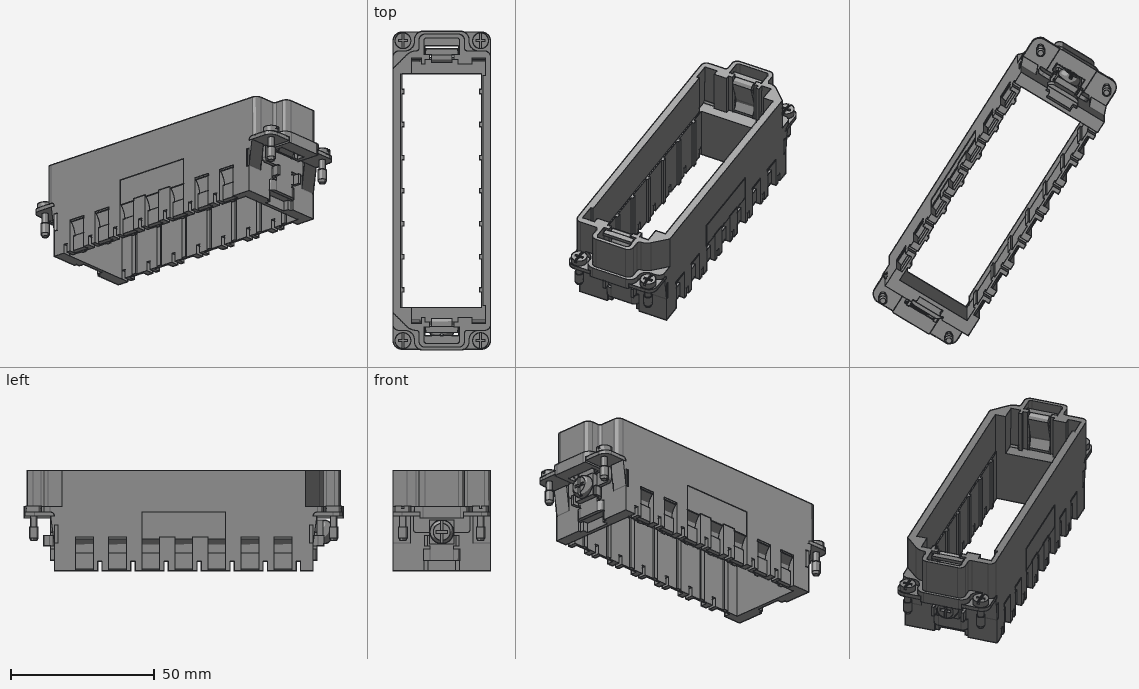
import cadquery as cq
import math

half_width = 17.0
height = 34.9
body_half_length = 45.0
flange_half_length = 55.5

plate_top = 20.4
plate_thickness = 1.4
plate_bottom = plate_top - plate_thickness
hood_bottom = 22.4
sill_bottom = 18.3
floor_level = 19.5

shoulder_y = 48.6
hood_end_y = 54.45
hood_bump_half_width = 7.9
hood_bump_round = 2.1
hood_root_round = 1.0
shoulder_round = 2.15
key_chamfer = 4.85
key_arc_radius = 4.6
key_start_y = shoulder_y - key_arc_radius * (1 - math.cos(math.pi / 4)) - key_chamfer
flange_bump_half_width = 9.5
flange_bump_round = 3.0
flange_root_round = 3.3
sill_half_width = 7.55

hood_inner_half_width = 14.3
body_inner_half_width = 13.8
opening_half_length = 40.6
recess_left_x = -10.5
recess_right_x = 15.25
recess_y = 45.6
recess_top_y = 46.2
recess_right_start_y = 40.0
guide_y = 44.1
narrow_guide_x = (-7.0, -5.8)
wide_guide_x = (5.7, 10.6)
rib_width = 1.6
rib_reach = 0.7

latch_half_width = 3.65
latch_slot_half_width = 4.2
latch_thickness = 1.3
latch_bar_half_width = 5.6
latch_bar_y = (47.2, 49.4)
latch_root = (45.6, 20.4)
latch_heel = (47.1, 24.0)
latch_nose = (44.5, 33.0)
latch_crown_z = 34.1
latch_bar_z = (33.0, latch_crown_z)
cavity_half_width = 6.25
cavity_slit_half_width = 5.75
cavity_y = (47.4, 53.15)
cavity_slit_y = 50.4
cavity_round = 1.0
cavity_floor = 19.7

module_pitch = 11.5
module_count = 7
window_width = 6.2
window_top = 11.7
cove_top = 11.1
catch_top = 6.2
catch_chamfer = 0.7
lip_depth = 0.2
ceiling_depth = 0.6
catch_depth = 1.7
cove_depth = 2.6
slot_offset = -5.35
slot_width = 1.4
slot_height = 3.3
panel_half_length = module_pitch + window_width / 2

pad_inner_x = 10.9
pad_bottom = 9.6
pad_reach = 1.3
relief_top = 16.0
relief_length = 1.3
relief_depth = 0.5
groove_top = 3.6
groove_steps = ((6.2, 1.0), (4.8, 3.0))

plate_end_y = 55.2
bend_radius = 1.3
plate_corner_round = 3.2
leg_outer_y = body_half_length + plate_thickness
leg_half_width = 9.9
leg_bottom = 13.25
leg_round = 1.3
stem_half_width = 4.1
foot_half_width = 6.3
foot_top = 7.6
ear_x = (4.95, 5.97)
ear_z = (8.65, 12.3)
ear_end_y = 48.7
ear_bend_radius = 1.7

screw_x = 13.5
screw_y = 52.15
screw_head_radius = 2.75
screw_head_height = 2.2
screw_neck_radius = 1.15
screw_thread_radius = 1.5
screw_thread_top = 15.3
screw_tip_start = 11.5
screw_tip_end = 10.5
screw_tip_radius = 1.0
screw_slot_width = 0.7
screw_slot_depth = 0.9
screw_cross_length = 3.0

earth_z = 13.55
washer_side = 8.4
washer_thickness = 2.1
washer_outer_y = leg_outer_y + washer_thickness
earth_head_radius = 4.05
earth_face_radius = 2.95
earth_head_height = 2.6
earth_shank_radius = 2.0
earth_shank_end_y = 42.5
earth_slot_width = 1.0
earth_slot_depth = 1.2
earth_cross_length = 3.9
earth_cross_depth = 1.6


def block(x, y, z):
    """Box between the given low and high limits along each axis."""
    sizes = [high - low for low, high in (x, y, z)]
    return cq.Workplane("XY").box(*sizes, centered=False).translate((x[0], y[0], z[0]))


def centred_block(half_x, y, z):
    return block((-half_x, half_x), y, z)


def side_profile(points, x):
    """Polygon of (y, z) points extruded along X between two limits."""
    return cq.Workplane("YZ", origin=(x[0], 0, 0)).polyline(points).close().extrude(x[1] - x[0])


def at_both_ends(shape):
    return shape.union(shape.mirror("XZ"))


def window_centres():
    middle = (module_count - 1) / 2
    return [module_pitch * (i - middle) for i in range(module_count)]


def hood_half():
    """Upper shroud; the -X corner carries the coding chamfer."""
    key_end = (-half_width + key_chamfer, key_start_y + key_chamfer)
    arc_middle = (
        key_end[0] + key_arc_radius * (math.sin(math.pi / 4) - math.sin(math.pi / 8)),
        shoulder_y - key_arc_radius * (1 - math.cos(math.pi / 8)),
    )
    arc_end = (key_end[0] + key_arc_radius * math.sin(math.pi / 4), shoulder_y)
    hood = (
        cq.Workplane("XY", origin=(0, 0, hood_bottom))
        .moveTo(-half_width, 0)
        .lineTo(-half_width, key_start_y)
        .lineTo(*key_end)
        .threePointArc(arc_middle, arc_end)
        .lineTo(0, shoulder_y)
        .lineTo(half_width, shoulder_y)
        .lineTo(half_width, 0)
        .close()
        .extrude(height - hood_bottom)
    )
    corner = cq.selectors.NearestToPointSelector((half_width, shoulder_y, height))
    hood = hood.edges("|Z").edges(corner).fillet(shoulder_round)
    bump = end_bump(
        hood_bump_half_width,
        hood_end_y,
        hood_bump_round,
        hood_root_round,
        hood_bottom,
        height,
    )
    return hood.union(bump)


def end_bump(half, end_y, tip_round, root_round, bottom, top):
    """Rounded projection beyond the shoulder, with concave roots on both sides."""
    level = cq.Workplane("XY", origin=(0, 0, bottom))
    bend = math.sqrt(0.5)
    outline = level.moveTo(-half - root_round, shoulder_y)
    outline = outline.threePointArc(
        (-half - root_round * (1 - bend), shoulder_y + root_round * (1 - bend)),
        (-half, shoulder_y + root_round),
    )
    outline = outline.lineTo(-half, end_y - tip_round)
    outline = outline.threePointArc(
        (-half + tip_round * (1 - bend), end_y - tip_round * (1 - bend)),
        (-half + tip_round, end_y),
    )
    outline = outline.lineTo(0, end_y).lineTo(0, body_half_length)
    outline = outline.lineTo(-half - root_round, body_half_length).close()
    left = outline.extrude(top - bottom)
    return left.union(left.mirror("YZ"))


def flange_half():
    """Lip under the hood, resting on the plate, with a sill that fills the notch of the plate."""
    flange = centred_block(half_width, (0, shoulder_y), (plate_top, hood_bottom))
    flange = flange.edges("|Z and >Y").fillet(shoulder_round)
    bump = end_bump(
        flange_bump_half_width,
        flange_half_length,
        flange_bump_round,
        flange_root_round,
        sill_bottom,
        hood_bottom,
    )
    beside_sill = centred_block(half_width, (0, flange_half_length), (sill_bottom, plate_top)).cut(
        centred_block(sill_half_width, (0, flange_half_length), (sill_bottom, plate_top))
    )
    return flange.union(bump.cut(beside_sill))


def bend_filler():
    """Strip of the housing that fits the outside of the bend of the plate."""
    strip = centred_block(half_width, (body_half_length, leg_outer_y), (plate_bottom, plate_top))
    return strip.cut(make_plate())


def end_recess():
    """Stepped recess in front of the end wall, with guide ribs left standing."""
    outline = [
        (recess_left_x, recess_right_start_y),
        (recess_left_x, recess_y),
        (narrow_guide_x[0], recess_y),
        (narrow_guide_x[0], guide_y),
        (narrow_guide_x[1], guide_y),
        (narrow_guide_x[1], recess_y),
        (wide_guide_x[0], recess_y),
        (wide_guide_x[0], guide_y),
        (wide_guide_x[1], guide_y),
        (wide_guide_x[1], recess_y),
        (recess_right_x, recess_y),
        (recess_right_x, recess_right_start_y),
    ]
    floor = cq.Workplane("XY", origin=(0, 0, floor_level))
    recess = floor.polyline(outline).close().extrude(height - floor_level)
    slope = [(guide_y, plate_top), (recess_y, plate_top), (recess_top_y, height), (guide_y, height)]
    for limits in ((recess_left_x, narrow_guide_x[0]), (wide_guide_x[1], recess_right_x)):
        recess = recess.union(side_profile(slope, limits))
    return recess


def latch_cavity():
    """Opening behind the latch; its outer part has a floor, the rest is open below."""
    upper = centred_block(cavity_half_width, cavity_y, (cavity_floor, height))
    upper = upper.edges("|Z and >Y").fillet(cavity_round)
    slit = centred_block(cavity_slit_half_width, (cavity_y[0], cavity_slit_y), (sill_bottom, height))
    slot = centred_block(latch_slot_half_width, (recess_y, cavity_y[0]), (sill_bottom, height))
    return upper.union(slit).union(slot)


def latch():
    """Leaning tongue with a rounded nose and a cross bar at its top."""
    root_middle = (
        (latch_root[0] + latch_heel[0]) / 2 + latch_thickness / 4,
        (latch_root[1] + latch_heel[1]) / 2 - latch_thickness / 4,
    )
    nose_middle = (latch_nose[0] + latch_thickness / 2, latch_crown_z - latch_thickness / 6)
    tongue = (
        cq.Workplane("YZ", origin=(-latch_half_width, 0, 0))
        .moveTo(body_half_length, sill_bottom)
        .lineTo(body_half_length, floor_level)
        .lineTo(latch_root[0], floor_level)
        .lineTo(*latch_root)
        .threePointArc(root_middle, latch_heel)
        .lineTo(*latch_nose)
        .threePointArc(nose_middle, (latch_bar_y[0], latch_crown_z))
        .lineTo(latch_bar_y[0], latch_bar_z[0])
        .lineTo(latch_nose[0] + latch_thickness, latch_nose[1] - latch_thickness)
        .lineTo(latch_heel[0] + latch_thickness, latch_heel[1])
        .lineTo(latch_heel[0], sill_bottom)
        .close()
        .extrude(2 * latch_half_width)
    )
    return tongue.union(centred_block(latch_bar_half_width, latch_bar_y, latch_bar_z))


def corner_pads():
    """Wedges under the plate on both sides of the leg, thickest where they meet the plate."""
    outline = [
        (body_half_length, pad_bottom),
        (body_half_length, plate_bottom),
        (body_half_length + pad_reach, plate_bottom),
    ]
    pad = side_profile(outline, (pad_inner_x, half_width))
    return pad.union(pad.mirror("YZ"))


def corner_reliefs():
    """Shallow tapered cuts in the long sides, running out at the end face."""
    outline = [
        (half_width, body_half_length),
        (half_width, body_half_length - relief_length),
        (half_width - relief_depth, body_half_length - relief_length),
    ]
    base = cq.Workplane("XY", origin=(0, 0, pad_bottom))
    relief = base.polyline(outline).close().extrude(relief_top - pad_bottom)
    return relief.union(relief.mirror("YZ"))


def foot_groove():
    groove = cq.Workplane("XY")
    for half, depth in groove_steps:
        step_y = (body_half_length - depth, body_half_length)
        groove = groove.add(centred_block(half, step_y, (0, groove_top)))
    return groove.combine()


def window(y):
    """Recess in the -X side with a coved back above a catch."""
    lip_x, catch_x, cove_x = (-half_width + depth for depth in (lip_depth, catch_depth, cove_depth))
    rise = cove_top - catch_top
    run = cove_depth - ceiling_depth
    cove_radius = (run**2 + rise**2) / (2 * run)
    half_angle = math.asin(rise / cove_radius) / 2
    cove_middle = (
        cove_x - cove_radius * (1 - math.cos(half_angle)),
        catch_top + cove_radius * math.sin(half_angle),
    )
    return (
        cq.Workplane("XZ", origin=(0, y + window_width / 2, 0))
        .moveTo(-half_width, 0)
        .lineTo(-half_width, window_top)
        .lineTo(lip_x, window_top)
        .lineTo(lip_x, cove_top)
        .lineTo(-half_width + ceiling_depth, cove_top)
        .threePointArc(cove_middle, (cove_x, catch_top))
        .lineTo(catch_x, catch_top)
        .lineTo(catch_x, catch_chamfer)
        .lineTo(catch_x + catch_chamfer, 0)
        .close()
        .extrude(window_width)
    )


def label_panel():
    """Shallow recess above the three middle windows of the -X side, down to their tops."""
    panel_x = (-half_width, -half_width + lip_depth)
    return block(panel_x, (-panel_half_length, panel_half_length), (window_top, plate_top))


def make_housing():
    body_half = centred_block(half_width, (0, body_half_length), (0, hood_bottom))
    half = body_half.union(flange_half()).union(hood_half())
    half = half.union(bend_filler())
    half = half.cut(end_recess()).cut(latch_cavity()).union(latch())
    half = half.union(corner_pads()).cut(corner_reliefs()).cut(foot_groove())
    housing = at_both_ends(half)

    opening = (-opening_half_length, opening_half_length)
    housing = housing.cut(centred_block(hood_inner_half_width, opening, (floor_level, height)))
    housing = housing.cut(centred_block(body_inner_half_width, opening, (0, floor_level)))

    rib_x = (-body_inner_half_width, -body_inner_half_width + rib_reach)
    for y in window_centres():
        rib = block(rib_x, (y - rib_width / 2, y + rib_width / 2), (0, floor_level))
        housing = housing.union(rib).union(rib.mirror("YZ"))
        recess = window(y)
        housing = housing.cut(recess).cut(recess.mirror("YZ"))
        slot_start = y + slot_offset - slot_width / 2
        slot = centred_block(half_width, (slot_start, slot_start + slot_width), (0, slot_height))
        housing = housing.cut(slot)

    panel = label_panel()
    housing = housing.cut(panel).cut(panel.mirror("YZ"))
    return housing.cut(earth_shank())


def foot():
    """Widened lower end of the stem, curved back to the end wall on both sides."""
    run = foot_half_width - stem_half_width
    radius = (run**2 + plate_thickness**2) / (2 * plate_thickness)
    half_angle = math.asin(run / radius) / 2
    arc_middle_x = stem_half_width + radius * math.sin(half_angle)
    arc_middle_y = leg_outer_y - radius * (1 - math.cos(half_angle))
    return (
        cq.Workplane("XY", origin=(0, 0, groove_top))
        .moveTo(-foot_half_width, body_half_length)
        .threePointArc((-arc_middle_x, arc_middle_y), (-stem_half_width, leg_outer_y))
        .lineTo(stem_half_width, leg_outer_y)
        .threePointArc((arc_middle_x, arc_middle_y), (foot_half_width, body_half_length))
        .close()
        .extrude(foot_top - groove_top)
    )


def ears():
    """Two tabs bent outward from the stem, on both sides of the washer place."""
    web = centred_block(ear_x[1], (body_half_length, leg_outer_y), ear_z)
    tab = block(ear_x, (body_half_length, ear_end_y), ear_z)
    bracket = web.union(tab).union(tab.mirror("YZ"))
    return bracket.edges("|Z and <Y").fillet(ear_bend_radius)


def make_plate():
    """Bent bracket of the +Y end: notched shelf, leg, foot and ears."""
    shelf = centred_block(half_width, (body_half_length, plate_end_y), (plate_bottom, plate_top))
    shelf = shelf.edges("|Z and >Y").fillet(plate_corner_round)
    leg_y = (body_half_length, leg_outer_y)
    leg = centred_block(leg_half_width, leg_y, (leg_bottom, plate_top))
    leg = leg.edges("|Y and <Z").fillet(leg_round)
    plate = shelf.union(leg)
    plate = plate.edges("|X and >Z and <Y").fillet(bend_radius)

    stem = centred_block(stem_half_width, leg_y, (groove_top, leg_bottom))
    plate = plate.union(stem).union(foot()).union(ears())

    notch = centred_block(sill_half_width, (body_half_length, flange_half_length), (sill_bottom, plate_top))
    holes = (
        cq.Workplane("XY", origin=(0, 0, plate_bottom))
        .pushPoints([(-screw_x, screw_y), (screw_x, screw_y)])
        .circle(screw_neck_radius)
        .extrude(plate_thickness)
    )
    return plate.cut(notch).cut(holes)


def make_corner_screw(x, y):
    head_top = plate_top + screw_head_height
    screw = (
        cq.Workplane("XZ")
        .moveTo(0, head_top)
        .lineTo(screw_head_radius, head_top)
        .lineTo(screw_head_radius, plate_top)
        .lineTo(screw_neck_radius, plate_top)
        .lineTo(screw_neck_radius, screw_thread_top)
        .lineTo(screw_thread_radius, screw_thread_top)
        .lineTo(screw_thread_radius, screw_tip_start)
        .lineTo(screw_tip_radius, screw_tip_end)
        .lineTo(0, screw_tip_end)
        .close()
        .revolve(360, (0, 0, 0), (0, 1, 0))
    )
    slot_z = head_top - screw_slot_depth / 2
    slot = cq.Workplane("XY", origin=(0, 0, slot_z)).box(
        screw_slot_width, 2 * screw_head_radius, screw_slot_depth
    )
    cross = cq.Workplane("XY", origin=(0, 0, slot_z)).box(
        screw_cross_length, screw_slot_width, screw_slot_depth
    )
    return screw.cut(slot).cut(cross).translate((x, y, 0))


def earth_shank():
    """Shank of the earth screw, through washer and leg into the -Y end wall."""
    return (
        cq.Workplane("XZ", origin=(0, -earth_shank_end_y, earth_z))
        .circle(earth_shank_radius)
        .extrude(washer_outer_y - earth_shank_end_y)
    )


def make_washer():
    washer = (
        cq.Workplane("XZ", origin=(0, -leg_outer_y, earth_z))
        .rect(washer_side, washer_side)
        .extrude(washer_thickness)
    )
    return washer.cut(earth_shank())


def make_earth_screw():
    """Cross-slotted screw with a domed head, along -Y."""
    crown_run = earth_head_radius - earth_face_radius
    bulge = math.sqrt(0.5)
    head = (
        cq.Workplane("XY")
        .lineTo(earth_head_radius, 0)
        .threePointArc(
            (earth_face_radius + crown_run * bulge, -earth_head_height * bulge),
            (earth_face_radius, -earth_head_height),
        )
        .lineTo(0, -earth_head_height)
        .close()
        .revolve(360, (0, 0, 0), (0, 1, 0))
    )
    slot = centred_block(
        earth_slot_width / 2,
        (-earth_head_height, earth_slot_depth - earth_head_height),
        (-earth_head_radius, earth_head_radius),
    )
    cross = centred_block(
        earth_cross_length / 2,
        (-earth_head_height, earth_cross_depth - earth_head_height),
        (-earth_slot_width / 2, earth_slot_width / 2),
    )
    head = head.cut(slot).cut(cross).translate((0, -washer_outer_y, earth_z))
    return head.union(earth_shank())


housing = make_housing()
far_plate = make_plate()
near_plate = make_plate().mirror("XZ").cut(earth_shank())
corner_screws = [make_corner_screw(x, y) for x in (-screw_x, screw_x) for y in (-screw_y, screw_y)]
washer = make_washer()
earth_screw = make_earth_screw()

result = cq.Compound.makeCompound(
    [
        housing.val(),
        far_plate.val(),
        near_plate.val(),
        *[screw.val() for screw in corner_screws],
        washer.val(),
        earth_screw.val(),
    ]
)